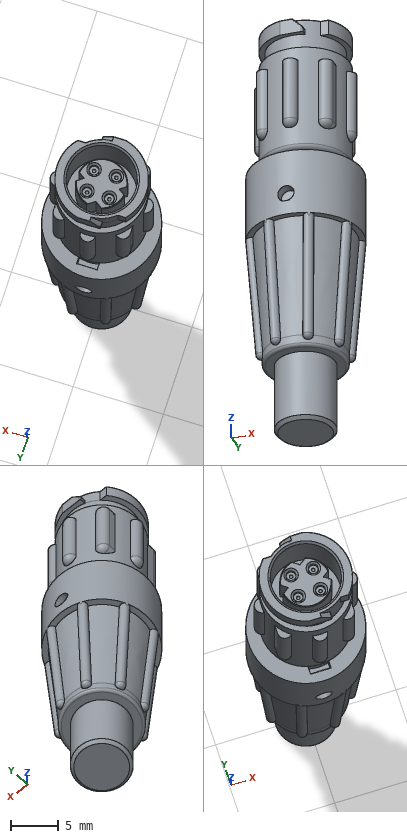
import cadquery as cq
import math

TOTAL_HEIGHT = 47.5
GRIP_BOTTOM = 8.05
GRIP_TAPER_BOTTOM = 9.3
COLLAR_BOTTOM = 23.15
SPIGOT_BOTTOM = 24.7
SCREW_HOLE_Z = 25.65
LATCH_TOP = 29.45
COLLAR_TOP = 30.75
RING_BOTTOM = 31.75
RING_RIB_BOTTOM = 35.15
RING_RIB_TOP = 42.3
RING_TOP = 43.9
FLANGE_BOTTOM = 45.8

COLLAR_RADIUS = 12.7 / 2
CABLE_RADIUS = 3.32
CABLE_CHAMFER = 0.4
GRIP_BOTTOM_RADIUS = 4.6
GRIP_TOP_RADIUS = 5.65
GRIP_FILLET = 0.35
GRIP_RIB_COUNT = 8
GRIP_RIB_RADIUS = 0.55
GRIP_RIB_BOTTOM_OFFSET = 4.7
GRIP_RIB_TOP_OFFSET = 5.8
KEYWAY_WIDTH = 2.3
KEYWAY_REACH = 5.2
SCREW_HOLE_RADIUS = 0.9

NECK_RADIUS = 4.3
RING_RADIUS = 4.95
RING_FILLET = 0.5
RING_RIB_RADIUS = 0.83
RING_RIB_OFFSET = 4.85
LATCH_REACH = 4.85
LATCH_BEVEL = 0.35
FLANGE_FLAT_REACH = 4.8
FLANGE_GAP_START = 1.4
FLANGE_GAP_END = 3.3
RAMP_LENGTH = 1.2
BORE_RADIUS = 3.75
BORE_CHAMFER = 0.25
BORE_FLOOR = 41.8

INSERT_TOP = 45.65
INSERT_RADIUS = 2.75
INSERT_CHAMFER = 0.1
CONTACT_SPACING = 2.45
CONTACT_HOLE_RADIUS = 0.5
CONTACT_MOUTH_RADIUS = 0.75
CONTACT_DEPTH = 0.55
COUNTERSINK_ANGLE = 90
SIDE_NOTCH_APEX = 1.95
SIDE_NOTCH_HALF_ANGLE = 35
TOP_NOTCH_APEX = 2.05
TOP_NOTCH_HALF_ANGLE = 55


def cylinder(radius, bottom, top):
    return cq.Workplane("XY").workplane(offset=bottom).circle(radius).extrude(top - bottom)


def cone(bottom_radius, top_radius, bottom, top):
    profile = [(0, bottom), (bottom_radius, bottom), (top_radius, top), (0, top)]
    return cq.Workplane("XZ").polyline(profile).close().revolve(360, (0, 0), (0, 1))


def block(x_range, y_range, z_range):
    size = [high - low for low, high in (x_range, y_range, z_range)]
    corner = (x_range[0], y_range[0], z_range[0])
    return cq.Workplane("XY").box(*size, centered=False).translate(corner)


def half_turn(shape):
    return shape.rotate((0, 0, 0), (0, 0, 1), 180)


def grip_rib(angle):
    """Round bar leaning along the grip taper, closed by a ball at its lower end."""
    start = cq.Vector(GRIP_RIB_BOTTOM_OFFSET, 0, GRIP_TAPER_BOTTOM)
    end = cq.Vector(GRIP_RIB_TOP_OFFSET, 0, COLLAR_BOTTOM)
    axis = end - start
    bar = cq.Solid.makeCylinder(GRIP_RIB_RADIUS, axis.Length + GRIP_RIB_RADIUS, start, axis)
    ball = cq.Workplane("XY").sphere(GRIP_RIB_RADIUS).translate(start)
    rib = ball.union(cq.Workplane(obj=bar)).intersect(cylinder(COLLAR_RADIUS, GRIP_BOTTOM, COLLAR_BOTTOM))
    return rib.rotate((0, 0, 0), (0, 0, 1), angle)


def make_backshell():
    cable = cylinder(CABLE_RADIUS, 0, GRIP_BOTTOM).faces("<Z").chamfer(CABLE_CHAMFER)
    grip_end = cylinder(GRIP_BOTTOM_RADIUS, GRIP_BOTTOM, GRIP_TAPER_BOTTOM)
    grip_end = grip_end.faces("<Z").edges().fillet(GRIP_FILLET)
    grip = cone(GRIP_BOTTOM_RADIUS, GRIP_TOP_RADIUS, GRIP_TAPER_BOTTOM, COLLAR_BOTTOM)
    collar = cylinder(COLLAR_RADIUS, COLLAR_BOTTOM, COLLAR_TOP)
    backshell = cable.union(grip_end).union(grip).union(collar)

    rib_pitch = 360 / GRIP_RIB_COUNT
    for i in range(GRIP_RIB_COUNT):
        backshell = backshell.union(grip_rib((i + 0.5) * rib_pitch))

    spigot_bore = cylinder(NECK_RADIUS, SPIGOT_BOTTOM, COLLAR_TOP)
    half_width = KEYWAY_WIDTH / 2
    keyways = block(
        (-half_width, half_width), (-KEYWAY_REACH, KEYWAY_REACH), (SPIGOT_BOTTOM, COLLAR_TOP)
    )
    screw_holes = (
        cq.Workplane("XZ").center(0, SCREW_HOLE_Z).circle(SCREW_HOLE_RADIUS).extrude(COLLAR_RADIUS, both=True)
    )
    screw_holes = screw_holes.intersect(cylinder(COLLAR_RADIUS, SPIGOT_BOTTOM, COLLAR_TOP))
    return backshell.cut(spigot_bore).cut(keyways).cut(screw_holes)


def ring_rib(angle):
    """Vertical round rib with a ball end; any undercut in the Y direction is filled flat."""
    x = RING_RIB_OFFSET * math.cos(math.radians(angle))
    y = RING_RIB_OFFSET * math.sin(math.radians(angle))
    rib = cylinder(RING_RIB_RADIUS, RING_RIB_BOTTOM, RING_RIB_TOP)
    rib = rib.union(cq.Workplane("XY").sphere(RING_RIB_RADIUS).translate((0, 0, RING_RIB_BOTTOM)))
    rib = rib.translate((x, y, 0))
    if angle % 90:
        inward = y / 2
        fill = (
            cq.Workplane("XZ")
            .moveTo(-RING_RIB_RADIUS, RING_RIB_TOP)
            .lineTo(-RING_RIB_RADIUS, RING_RIB_BOTTOM)
            .threePointArc((0, RING_RIB_BOTTOM - RING_RIB_RADIUS), (RING_RIB_RADIUS, RING_RIB_BOTTOM))
            .lineTo(RING_RIB_RADIUS, RING_RIB_TOP)
            .close()
            .extrude(inward)
            .translate((x, y, 0))
        )
        rib = rib.union(fill)
    return rib


def make_coupling_ring():
    ring = cylinder(RING_RADIUS, RING_BOTTOM, RING_TOP)
    ring = ring.faces("<Z").edges().fillet(RING_FILLET)
    for angle in range(0, 360, 45):
        ring = ring.union(ring_rib(angle))
    return ring


def make_bayonet_flange():
    """Flange with a flat, an entry gap and a lead-in ramp, repeated by a half turn."""
    flange = cylinder(RING_RADIUS, FLANGE_BOTTOM, TOTAL_HEIGHT)
    heights = (FLANGE_BOTTOM, TOTAL_HEIGHT)
    flat = block((-RING_RADIUS, RING_RADIUS), (-RING_RADIUS, -FLANGE_FLAT_REACH), heights)
    gap = block((FLANGE_GAP_START, RING_RADIUS), (-RING_RADIUS, -FLANGE_GAP_END), heights)
    ramp = (
        cq.Workplane("XZ")
        .moveTo(FLANGE_GAP_START - RAMP_LENGTH, TOTAL_HEIGHT)
        .lineTo(FLANGE_GAP_START, TOTAL_HEIGHT - RAMP_LENGTH)
        .lineTo(FLANGE_GAP_START, TOTAL_HEIGHT)
        .close()
        .extrude(RING_RADIUS)
    )
    opening = flat.union(gap).union(ramp).cut(cylinder(NECK_RADIUS, FLANGE_BOTTOM, TOTAL_HEIGHT))
    return flange.cut(opening).cut(half_turn(opening))


def latch_profile(points):
    """Extrude a Y-Z outline across the keyway width."""
    return cq.Workplane("YZ").polyline(points).close().extrude(KEYWAY_WIDTH / 2, both=True)


def add_latches(spigot):
    """Key in each keyway, bevelled below the middle of the screw hole."""
    bevel_foot = LATCH_REACH - LATCH_BEVEL
    key = latch_profile(
        [(0, SPIGOT_BOTTOM), (LATCH_REACH, SPIGOT_BOTTOM), (LATCH_REACH, LATCH_TOP), (0, LATCH_TOP)]
    )
    bevel = latch_profile(
        [(bevel_foot, SPIGOT_BOTTOM), (LATCH_REACH, SPIGOT_BOTTOM), (LATCH_REACH, SCREW_HOLE_Z)]
    )
    spigot = spigot.union(key).union(half_turn(key))
    return spigot.cut(bevel).cut(half_turn(bevel))


def insert_notch(angle, apex, half_angle):
    """V notch opening outwards from its apex."""
    length = INSERT_RADIUS
    half_width = length * math.tan(math.radians(half_angle))
    return (
        cq.Workplane("XY")
        .workplane(offset=BORE_FLOOR)
        .polyline([(apex, 0), (apex + length, half_width), (apex + length, -half_width)])
        .close()
        .extrude(INSERT_TOP - BORE_FLOOR)
        .rotate((0, 0, 0), (0, 0, 1), angle)
    )


def make_insert():
    """Contact insert standing on the socket floor, with four countersunk contact holes."""
    insert = cylinder(INSERT_RADIUS, BORE_FLOOR, INSERT_TOP).faces(">Z").chamfer(INSERT_CHAMFER)
    for angle in (0, 180):
        insert = insert.cut(insert_notch(angle, SIDE_NOTCH_APEX, SIDE_NOTCH_HALF_ANGLE))
    insert = insert.cut(insert_notch(90, TOP_NOTCH_APEX, TOP_NOTCH_HALF_ANGLE))
    return (
        insert.faces(">Z")
        .workplane(origin=(0, 0, INSERT_TOP))
        .rect(CONTACT_SPACING, CONTACT_SPACING, forConstruction=True)
        .vertices()
        .cskHole(2 * CONTACT_HOLE_RADIUS, 2 * CONTACT_MOUTH_RADIUS, COUNTERSINK_ANGLE, CONTACT_DEPTH)
    )


def make_plug():
    spigot = add_latches(cylinder(NECK_RADIUS, SPIGOT_BOTTOM, TOTAL_HEIGHT))
    plug = spigot.union(make_coupling_ring()).union(make_bayonet_flange())
    bore = cylinder(BORE_RADIUS, BORE_FLOOR, TOTAL_HEIGHT)
    bore_mouth = cone(BORE_RADIUS, BORE_RADIUS + BORE_CHAMFER, TOTAL_HEIGHT - BORE_CHAMFER, TOTAL_HEIGHT)
    return plug.cut(bore).cut(bore_mouth).union(make_insert())


backshell = make_backshell()
plug = make_plug()
result = cq.Compound.makeCompound([backshell.val(), plug.val()])